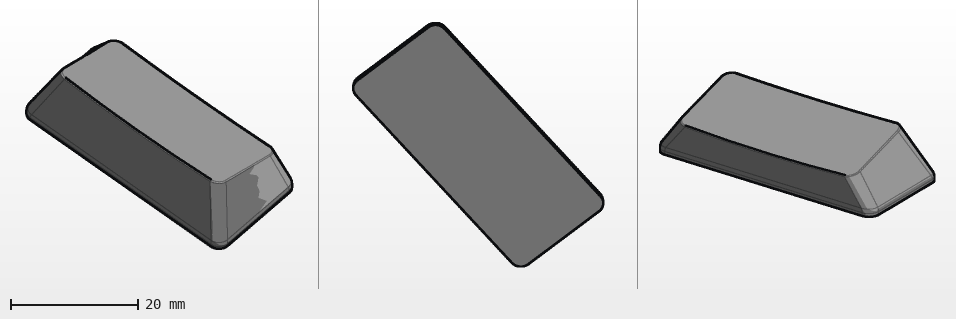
import cadquery as cq
import math

LENGTH = 41.95
WIDTH = 18.17
BAND_HEIGHT = 0.6
BLEND_HEIGHT = 0.7
CORNER_RADIUS = 1.85

END_INSET = 3.85
FRONT_INSET = 4.05
BACK_INSET = 0.38
FRONT_HEIGHT = 9.95
BACK_HEIGHT = 5.95
DISH_DEPTH = 0.45
TOP_ROUNDING = 0.25

END_FOOT_INSET = 0.15
FRONT_FOOT_INSET = 0.15
BACK_FOOT_INSET = 0.05

OVERRUN = 0.1

WALL_FOOT_HEIGHT = BAND_HEIGHT + BLEND_HEIGHT
FOOT_LENGTH = LENGTH - 2 * END_FOOT_INSET
FOOT_FRONT = cq.Vector(0, -WIDTH / 2 + FRONT_FOOT_INSET, WALL_FOOT_HEIGHT)
FOOT_BACK = cq.Vector(0, WIDTH / 2 - BACK_FOOT_INSET, WALL_FOOT_HEIGHT)
TOP_LENGTH = LENGTH - 2 * END_INSET
TOP_FRONT = cq.Vector(0, -WIDTH / 2 + FRONT_INSET, FRONT_HEIGHT)
TOP_BACK = cq.Vector(0, WIDTH / 2 - BACK_INSET, BACK_HEIGHT)


def rounded_outline(length, front, back):
    """Rounded rectangle spanning from the middle of its front edge to the middle of its back edge."""
    depth = back - front
    tilt = math.degrees(math.atan2(depth.z, depth.y))
    place = cq.Location((front + back) / 2, cq.Vector(1, 0, 0), tilt)
    return cq.Sketch().rect(length, depth.Length).vertices().fillet(CORNER_RADIUS).moved(place)


def skirt_outline(height, inset_share):
    """Level outline inset by a share of the wall foot insets."""
    front = cq.Vector(0, -WIDTH / 2 + inset_share * FRONT_FOOT_INSET, height)
    back = cq.Vector(0, WIDTH / 2 - inset_share * BACK_FOOT_INSET, height)
    return rounded_outline(LENGTH - 2 * inset_share * END_FOOT_INSET, front, back)


def make_band():
    return cq.Workplane("XY").placeSketch(skirt_outline(0, 0)).extrude(BAND_HEIGHT)


def make_blend():
    """Parabolic blend: upright at the band, leaning like the walls at their foot."""
    outlines = [skirt_outline(BAND_HEIGHT + share * BLEND_HEIGHT, share ** 2) for share in (0, 0.5, 1)]
    return cq.Workplane("XY").placeSketch(*outlines).loft()


def make_walls():
    """Straight-ruled walls from their level foot to a tilted outline just above the top."""
    upper = rounded_outline(
        TOP_LENGTH + (TOP_LENGTH - FOOT_LENGTH) * OVERRUN,
        TOP_FRONT + (TOP_FRONT - FOOT_FRONT) * OVERRUN,
        TOP_BACK + (TOP_BACK - FOOT_BACK) * OVERRUN,
    )
    lower = rounded_outline(FOOT_LENGTH, FOOT_FRONT, FOOT_BACK)
    return cq.Workplane("XY").placeSketch(lower, upper).loft(ruled=True)


def make_dish():
    """Large cylinder lying along the slope of the top; its underside is the dished face."""
    radius = (TOP_LENGTH ** 2 / 4 + DISH_DEPTH ** 2) / (2 * DISH_DEPTH)
    slope = (TOP_BACK - TOP_FRONT).normalized()
    normal = cq.Vector(1, 0, 0).cross(slope)
    middle = (TOP_FRONT + TOP_BACK) / 2
    start = middle + normal * (radius - DISH_DEPTH) - slope * WIDTH
    return cq.Workplane(obj=cq.Solid.makeCylinder(radius, 2 * WIDTH, start, slope))


keycap = make_band().union(make_blend()).union(make_walls()).cut(make_dish())
result = keycap.faces(">Z").edges().fillet(TOP_ROUNDING)